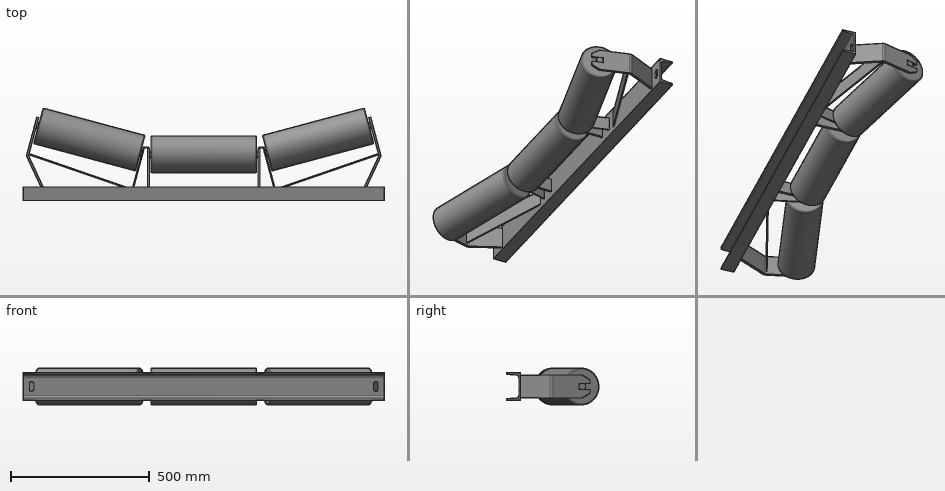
import cadquery as cq
import math


beam_length = 1300.0
beam_height = 100.0
beam_depth = 50.0
web_thickness = 6.0
flange_thickness = 8.5
flange_taper = 0.08
root_radius = 8.5
toe_radius = 4.5
mounting_slot_length = 35.0
mounting_slot_width = 16.0
mounting_slot_inset = 30.0

trough_angle = 15.0
roller_diameter = 133.0
roller_length = 380.0
roller_edge_radius = 4.0
shaft_diameter = 25.0
shaft_flat_width = 20.0
centre_roller_y = 117.0
side_roller_x = -412.0
overall_depth = 332.84

bracket_width = 82.0
inner_width = 50.0
strut_width = 60.0
support_thickness = 8.0
sheet_thickness = 4.5
post_gap = 5.0
hanger_gap = 5.0
end_gap = 6.0
end_tip_above_axis = 29.0
end_tip_chamfer_length = 28.0
end_tip_chamfer_depth = 17.0
bend_y = 112.0
bend_inner_radius = 8.0
leg_angle = 25.0
post_height = 139.5
strut_foot_x = -288.0
strut_head_y = 119.0

tilt = math.radians(trough_angle)
axis_dir = cq.Vector(math.cos(tilt), -math.sin(tilt), 0)
up_dir = cq.Vector(math.sin(tilt), math.cos(tilt), 0)

edge_along = roller_length / 2 - roller_edge_radius
edge_across = roller_diameter / 2 - roller_edge_radius
roller_rise = edge_along * math.sin(tilt) + edge_across * math.cos(tilt) + roller_edge_radius
side_roller_y = overall_depth - beam_depth - roller_rise
side_centre = cq.Vector(side_roller_x, side_roller_y, 0)

beyond = 40.0


def mirrored(body):
    """The matching body at the other end of the idler."""
    return body.mirror("YZ")


def make_beam():
    half = beam_height / 2
    toe_z = half - flange_thickness + flange_taper * beam_depth / 2
    root_z = toe_z - flange_taper * (beam_depth - web_thickness)
    section = [
        (0, -half),
        (-beam_depth, -half),
        (-beam_depth, -toe_z),
        (-web_thickness, -root_z),
        (-web_thickness, root_z),
        (-beam_depth, toe_z),
        (-beam_depth, half),
        (0, half),
    ]
    end_plane = cq.Workplane("YZ", origin=(-beam_length / 2, 0, 0))
    beam = end_plane.polyline(section).close().extrude(beam_length)
    for z in (-root_z, root_z):
        corner = cq.selectors.NearestToPointSelector((0, -web_thickness, z))
        beam = beam.edges("|X").edges(corner).fillet(root_radius)
    for z in (-toe_z, toe_z):
        corner = cq.selectors.NearestToPointSelector((0, -beam_depth, z))
        beam = beam.edges("|X").edges(corner).fillet(toe_radius)
    slot_x = beam_length / 2 - mounting_slot_inset
    slots = (
        cq.Workplane("XZ")
        .pushPoints([(-slot_x, 0), (slot_x, 0)])
        .slot2D(mounting_slot_length, mounting_slot_width, 90)
        .extrude(beam_depth, both=True)
    )
    return beam.cut(slots)


def make_roller(centre, direction, start_reach, end_reach):
    """Roller with its shaft; each reach is how far the shaft passes the roller end."""
    start = centre - direction * (roller_length / 2)
    drum_plane = cq.Plane(origin=start, xDir=(0, 0, 1), normal=direction)
    drum = cq.Workplane(drum_plane).circle(roller_diameter / 2).extrude(roller_length)
    drum = drum.edges("%CIRCLE").fillet(roller_edge_radius)
    shaft_plane = cq.Plane(origin=start - direction * start_reach, xDir=(0, 0, 1), normal=direction)
    shaft_length = start_reach + roller_length + end_reach
    shaft = cq.Workplane(shaft_plane).circle(shaft_diameter / 2).extrude(shaft_length)
    flats = cq.Workplane(shaft_plane).rect(shaft_flat_width, shaft_diameter).extrude(shaft_length)
    return drum.union(shaft.intersect(flats))


def unit_normal(start, end):
    direction = (end - start).normalized()
    return cq.Vector(-direction.y, direction.x, 0)


def bent_strip(start, corner, end, thickness, width):
    """Flat bar with one sharp bend, centred on the path start-corner-end."""
    first = unit_normal(start, corner)
    second = unit_normal(corner, end)
    mitre = (first + second) * (1 / (1 + first.dot(second)))
    half = thickness / 2
    outline = [
        start + first * half,
        corner + mitre * half,
        end + second * half,
        end - second * half,
        corner - mitre * half,
        start - first * half,
    ]
    underside = cq.Workplane("XY", origin=(0, 0, -width / 2))
    return underside.polyline([(p.x, p.y) for p in outline]).close().extrude(width)


def trim_at_beam(body):
    """Cut away what reaches past the back face of the beam web."""
    below = cq.Workplane("XY").box(beam_length, beyond * 2, beam_height, centered=(True, False, True))
    return body.cut(below.translate((0, -beyond * 2, 0)))


def shaft_slot(axis_point, direction):
    """Cutter for the open shaft slot, from the bottom of the shaft upwards."""
    plane = cq.Plane(origin=axis_point, xDir=(0, 0, -1), normal=direction)
    return (
        cq.Workplane(plane)
        .center(0, beyond - shaft_diameter / 2)
        .rect(shaft_flat_width, beyond * 2)
        .extrude(beyond, both=True)
    )


def make_end_bracket():
    """The outer support of the left roller, and the corner point of its bend."""
    axis_point = side_centre - axis_dir * (roller_length / 2 + end_gap + support_thickness / 2)
    tip = axis_point + up_dir * end_tip_above_axis
    bend = axis_point - up_dir * ((axis_point.y - bend_y) / up_dir.y)
    leg = math.radians(leg_angle)
    leg_dir = cq.Vector(math.sin(leg), -math.cos(leg), 0)
    foot = bend + leg_dir * (bend_y / math.cos(leg) + beyond / 2)
    bracket = bent_strip(foot, bend, tip, support_thickness, bracket_width)
    inner = cq.selectors.NearestToPointSelector((bend.x + support_thickness, bend.y, 0))
    bracket = bracket.edges("|Z").edges(inner).fillet(bend_inner_radius)
    outer = cq.selectors.NearestToPointSelector((bend.x - support_thickness, bend.y, 0))
    bracket = bracket.edges("|Z").edges(outer).fillet(bend_inner_radius + support_thickness)

    face = cq.Plane(origin=tip, xDir=up_dir, normal=axis_dir)
    half = bracket_width / 2
    for side in (-1, 1):
        corner = (
            cq.Workplane(face)
            .moveTo(0, side * half)
            .lineTo(-end_tip_chamfer_length, side * half)
            .lineTo(0, side * (half - end_tip_chamfer_depth))
            .close()
            .extrude(support_thickness, both=True)
        )
        bracket = bracket.cut(corner)
    return trim_at_beam(bracket).cut(shaft_slot(axis_point, axis_dir)), bend


def make_post():
    """Upright carrying the left end of the centre roller."""
    x = -roller_length / 2 - post_gap - support_thickness / 2
    post = cq.Workplane("XY").box(support_thickness, post_height, inner_width)
    post = post.translate((x, post_height / 2, 0))
    return post.cut(shaft_slot(cq.Vector(x, centre_roller_y, 0), cq.Vector(1, 0, 0)))


def make_hanger():
    """Folded sheet at the inner end of the left roller, its tab resting on the post."""
    axis_point = side_centre + axis_dir * (roller_length / 2 + hanger_gap + sheet_thickness / 2)
    tab_y = post_height + sheet_thickness / 2
    foot = axis_point - up_dir * ((axis_point.y + beyond / 2) / up_dir.y)
    corner = axis_point + up_dir * ((tab_y - axis_point.y) / up_dir.y)
    tab_end = cq.Vector(-roller_length / 2 - post_gap - support_thickness / 2, tab_y, 0)
    hanger = bent_strip(foot, corner, tab_end, sheet_thickness, inner_width)
    return trim_at_beam(hanger).cut(shaft_slot(axis_point, axis_dir))


def make_strut(bracket, bend):
    """Flat brace from the end bracket down to the beam."""
    head = bend + up_dir * ((strut_head_y - bend_y) / up_dir.y)
    foot = cq.Vector(strut_foot_x, 0, 0)
    span = foot - head
    plane = cq.Plane(origin=head, xDir=(0, 0, 1), normal=span)
    strut = cq.Workplane(plane).rect(strut_width, sheet_thickness).extrude(span.Length + beyond)
    return trim_at_beam(strut).cut(bracket)


beam = make_beam()
post_reach = post_gap + support_thickness
centre_roller = make_roller(cq.Vector(0, centre_roller_y, 0), cq.Vector(1, 0, 0), post_reach, post_reach)
side_roller = make_roller(side_centre, axis_dir, end_gap + support_thickness, hanger_gap + sheet_thickness)
end_bracket, bend_point = make_end_bracket()
strut = make_strut(end_bracket, bend_point)
inner_bracket = make_post().union(make_hanger())

bodies = [beam.val(), centre_roller.val()]
for body in (side_roller, end_bracket, strut, inner_bracket):
    bodies.append(body.val())
    bodies.append(mirrored(body).val())

result = cq.Compound.makeCompound(bodies)